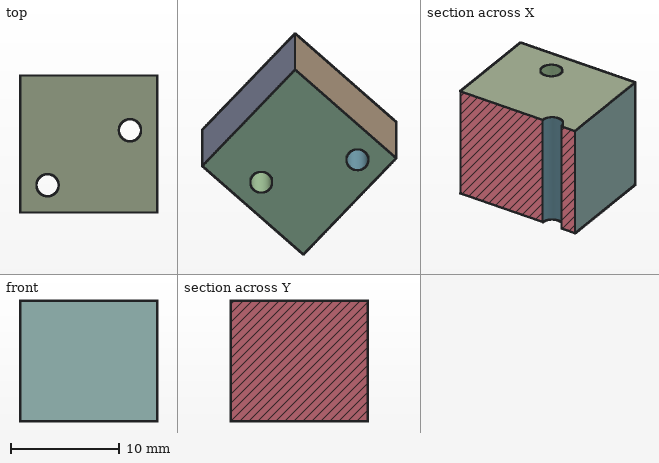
import cadquery as cq

side = 12.7
height = 11.18

hole_diameter = 2.03
hole_offset_x = 3.81
front_hole_y = -3.81
rear_hole_y = 1.27
hole_centers = [(-hole_offset_x, front_hole_y), (hole_offset_x, rear_hole_y)]

block = cq.Workplane("XY").box(side, side, height)

result = block.faces(">Z").workplane().pushPoints(hole_centers).hole(hole_diameter)